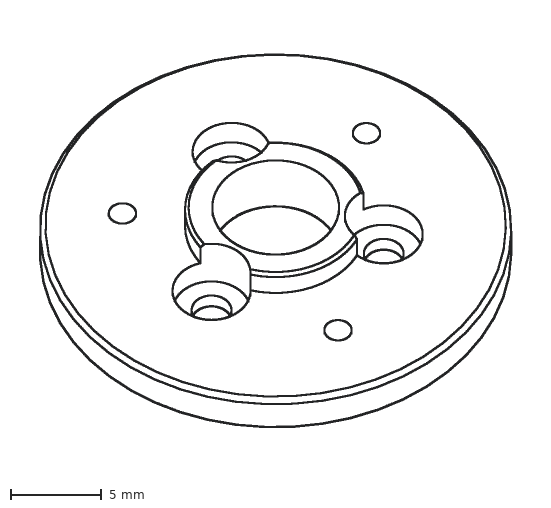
import cadquery as cq

disc_diameter = 26.0
disc_thickness = 2.5
disc_chamfer = 0.3

boss_diameter = 10.0
boss_height = 1.5
boss_chamfer = 0.2
bore_diameter = 7.0
bore_chamfer = 0.2

screw_count = 3
screw_circle_radius = 6.0
screw_start_angle = 30.0
screw_hole_diameter = 2.2
counterbore_diameter = 4.3
counterbore_depth = 1.6

pin_count = 3
pin_circle_radius = 8.5
pin_start_angle = 90.0
pin_hole_diameter = 1.51

total_height = disc_thickness + boss_height


def cylinder(diameter, bottom, height):
    """Cylinder on the Z axis, starting at the given height."""
    return cq.Workplane("XY").workplane(offset=bottom).circle(diameter / 2).extrude(height)


def ring_of_cylinders(count, circle_radius, start_angle, diameter, bottom, height):
    """Equally spaced vertical cylinders on a circle around the Z axis."""
    return (
        cq.Workplane("XY")
        .workplane(offset=bottom)
        .polarArray(circle_radius, start_angle, 360, count)
        .circle(diameter / 2)
        .extrude(height)
    )


def make_body():
    """Disc chamfered on both rims, with a chamfered boss on top."""
    disc = cylinder(disc_diameter, 0, disc_thickness).edges().chamfer(disc_chamfer)
    boss = cylinder(boss_diameter, disc_thickness, boss_height)
    return disc.union(boss.edges(">Z").chamfer(boss_chamfer))


def make_bore():
    """Through bore, widened by a chamfer at the underside of the disc."""
    bore = cylinder(bore_diameter, 0, total_height)
    mouth_radius = bore_diameter / 2 + bore_chamfer
    mouth = cq.Workplane(cq.Solid.makeCone(mouth_radius, bore_diameter / 2, bore_chamfer))
    return bore.union(mouth)


def make_screw_holes():
    """Through holes with counterbores that run up past the boss."""
    holes = ring_of_cylinders(
        screw_count, screw_circle_radius, screw_start_angle, screw_hole_diameter, 0, total_height
    )
    counterbore_floor = disc_thickness - counterbore_depth
    counterbores = ring_of_cylinders(
        screw_count,
        screw_circle_radius,
        screw_start_angle,
        counterbore_diameter,
        counterbore_floor,
        total_height - counterbore_floor,
    )
    return holes.union(counterbores)


def make_pin_holes():
    """Plain through holes in the disc."""
    return ring_of_cylinders(
        pin_count, pin_circle_radius, pin_start_angle, pin_hole_diameter, 0, disc_thickness
    )


result = make_body().cut(make_bore()).cut(make_screw_holes()).cut(make_pin_holes())